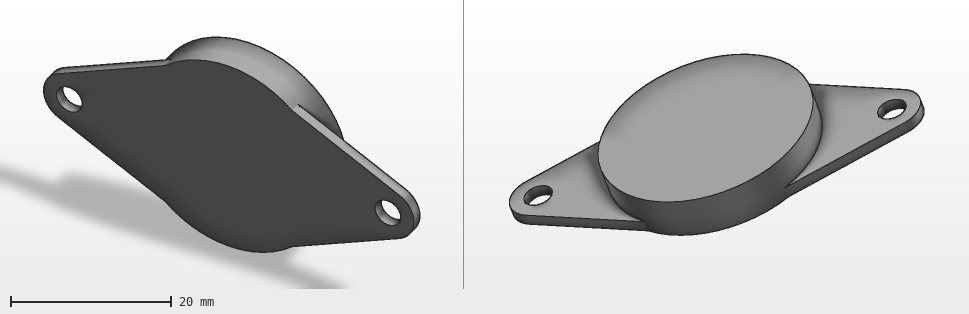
import cadquery as cq
import math

overall_length = 53.57
disc_diameter = 28.0
overall_depth = 5.5
flange_thickness = 1.5
ear_radius = 3.75
mounting_hole_diameter = 3.7
flank_meets_disc_x = 9.15

disc_radius = disc_diameter / 2
ear_tip_x = overall_length / 2
ear_center_x = ear_tip_x - ear_radius
flank_meets_disc_z = math.sqrt(disc_radius**2 - flank_meets_disc_x**2)

flank_run = ear_center_x - flank_meets_disc_x
flank_distance = math.hypot(flank_run, flank_meets_disc_z)
tangent_angle = math.acos(ear_radius / flank_distance) - math.atan2(flank_run, flank_meets_disc_z)
tangent_x = ear_center_x + ear_radius * math.sin(tangent_angle)
tangent_z = ear_radius * math.cos(tangent_angle)


def disc():
    """Round body, front face on Y = 0, extending toward +Y."""
    return cq.Workplane("XZ").circle(disc_radius).extrude(-overall_depth)


def flange():
    """Thin two-eared plate whose straight flanks run from the ears to the disc."""
    return (
        cq.Workplane("XZ")
        .moveTo(-flank_meets_disc_x, flank_meets_disc_z)
        .lineTo(flank_meets_disc_x, flank_meets_disc_z)
        .lineTo(tangent_x, tangent_z)
        .threePointArc((ear_tip_x, 0), (tangent_x, -tangent_z))
        .lineTo(flank_meets_disc_x, -flank_meets_disc_z)
        .lineTo(-flank_meets_disc_x, -flank_meets_disc_z)
        .lineTo(-tangent_x, -tangent_z)
        .threePointArc((-ear_tip_x, 0), (-tangent_x, tangent_z))
        .close()
        .extrude(-flange_thickness)
    )


def mounting_holes():
    """Cutters for the through holes, one concentric with each ear."""
    return (
        cq.Workplane("XZ")
        .pushPoints([(-ear_center_x, 0), (ear_center_x, 0)])
        .circle(mounting_hole_diameter / 2)
        .extrude(-flange_thickness)
    )


result = disc().union(flange()).cut(mounting_holes())